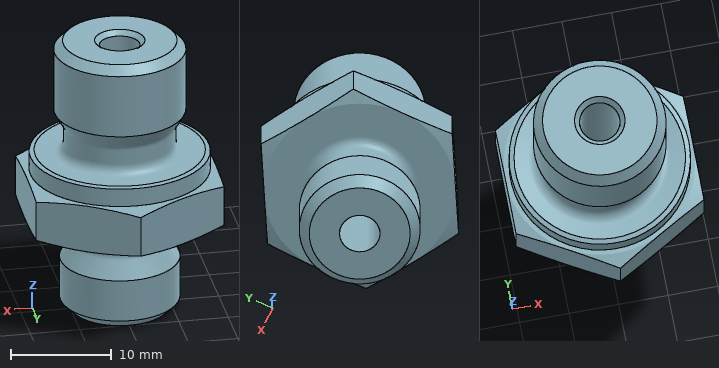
import cadquery as cq
import math

hex_height = 5.0
flange_height = 2.0
upper_stud_length = 12.0
lower_stud_length = 10.0

across_flats = 19.0
corner_radius = across_flats / 2 / math.cos(math.radians(30))
hex_chamfer_angle = math.radians(15)
hex_chamfer_drop = (corner_radius - across_flats / 2) * math.tan(hex_chamfer_angle)

flange_radius = 18.0 / 2
flange_bevel_drop = 0.1
seal_edge_radius = 17.0 / 2

upper_stud_radius = 13.16 / 2
upper_groove_radius = 11.2 / 2
upper_tip_chamfer = 0.9
upper_thread_length = 7.5
lower_stud_radius = 12.0 / 2
lower_groove_radius = 9.7 / 2
lower_tip_chamfer = 1.0
lower_thread_length = 5.4

seal_slope = math.radians(8)
upper_root_fillet = 1.2
lower_root_fillet = 1.0
runout_slope = math.radians(30)
runout_fillet = 1.0

bore_diameter = 4.0
countersink_diameter = 5.0
countersink_angle = 90.0

hex_top = hex_height
flange_top = hex_top + flange_height
upper_end = flange_top + upper_stud_length
lower_end = -lower_stud_length


def stud_outline(
    sketch, direction, seat_z, seat_drop, seat_slope, root_fillet,
    stud_radius, groove_radius, length, thread_length, tip_chamfer,
):
    """Trace a stud from its root fillet to the axis at its tip; direction is +1 for up, -1 for down.

    The root fillet starts tangent to a seat that slopes inward at seat_slope, seat_drop below seat_z.
    """

    def point(radius, height):
        return (radius, seat_z + direction * height)

    fillet_center_radius = groove_radius + root_fillet
    fillet_center_height = root_fillet * math.cos(seat_slope) - seat_drop
    middle_angle = (math.pi / 2 + seat_slope) / 2
    fillet_start = point(fillet_center_radius + root_fillet * math.sin(seat_slope), -seat_drop)
    fillet_middle = point(
        fillet_center_radius - root_fillet * math.cos(middle_angle),
        fillet_center_height - root_fillet * math.sin(middle_angle),
    )

    thread_start = length - thread_length
    cone_foot = thread_start - (stud_radius - groove_radius) / math.tan(runout_slope)
    groove_end = cone_foot - runout_fillet * math.tan(runout_slope / 2)

    def runout_point(angle):
        return point(
            groove_radius + runout_fillet * (1 - math.cos(angle)),
            groove_end + runout_fillet * math.sin(angle),
        )

    return (
        sketch.lineTo(*fillet_start)
        .threePointArc(fillet_middle, point(groove_radius, fillet_center_height))
        .lineTo(*point(groove_radius, groove_end))
        .threePointArc(runout_point(runout_slope / 2), runout_point(runout_slope))
        .lineTo(*point(stud_radius, thread_start))
        .lineTo(*point(stud_radius, length - tip_chamfer))
        .lineTo(*point(stud_radius - tip_chamfer, length))
        .lineTo(*point(0, length))
    )


def turned_body():
    """Everything turned about Z: upper stud, sealing flange, hexagon blank and lower stud."""
    seal_inner_radius = upper_groove_radius + upper_root_fillet * (1 + math.sin(seal_slope))
    seal_drop = (seal_edge_radius - seal_inner_radius) * math.tan(seal_slope)

    upper_outline = (
        cq.Workplane("XZ")
        .moveTo(0, hex_height / 2)
        .lineTo(corner_radius, hex_height / 2)
        .lineTo(corner_radius, hex_top - hex_chamfer_drop)
        .lineTo(across_flats / 2, hex_top)
        .lineTo(flange_radius, hex_top)
        .lineTo(flange_radius, flange_top - flange_bevel_drop)
        .lineTo(seal_edge_radius, flange_top)
    )
    upper_outline = stud_outline(
        upper_outline, 1, flange_top, seal_drop, seal_slope, upper_root_fillet,
        upper_stud_radius, upper_groove_radius, upper_stud_length, upper_thread_length, upper_tip_chamfer,
    )

    lower_outline = (
        cq.Workplane("XZ")
        .moveTo(0, hex_height / 2)
        .lineTo(corner_radius, hex_height / 2)
        .lineTo(corner_radius, hex_chamfer_drop)
        .lineTo(across_flats / 2, 0)
    )
    lower_outline = stud_outline(
        lower_outline, -1, 0, 0, 0, lower_root_fillet,
        lower_stud_radius, lower_groove_radius, lower_stud_length, lower_thread_length, lower_tip_chamfer,
    )

    upper_half = upper_outline.close().revolve(360, (0, 0), (0, 1))
    lower_half = lower_outline.close().revolve(360, (0, 0), (0, 1))
    return upper_half.union(lower_half)


def hexagon_bar():
    """Full-length hexagonal bar with flats facing +X and -X and corners on the Y axis."""
    return (
        cq.Workplane("XY")
        .workplane(offset=lower_end)
        .transformed(rotate=(0, 0, 90))
        .polygon(6, 2 * corner_radius)
        .extrude(upper_end - lower_end)
    )


def drill_bore(body):
    """Bore through the whole length, countersunk at the upper end."""
    return (
        body.faces(">Z")
        .workplane(origin=(0, 0, upper_end))
        .cskHole(bore_diameter, countersink_diameter, countersink_angle)
    )


result = drill_bore(turned_body().intersect(hexagon_bar()))